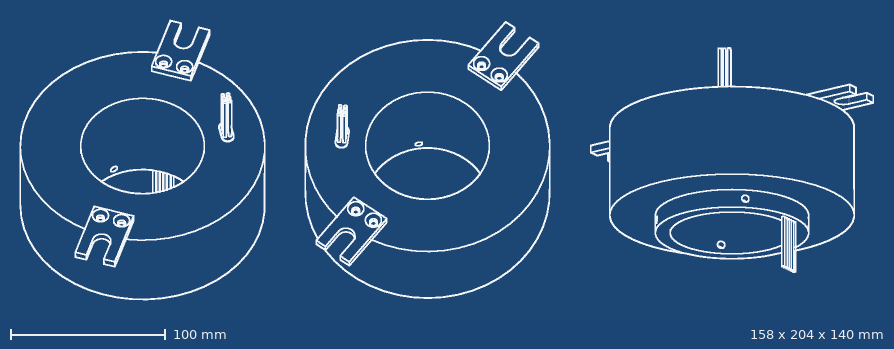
import cadquery as cq
import math


drum_diameter = 158.0
drum_height = 60.2
flange_diameter = 99.1
flange_height = 12.0
bore_diameter = 80.0
flange_bottom = -drum_height - flange_height

set_screw_diameter = 4.7
set_screw_count = 4

bracket_reach = 102.0
bracket_length = 40.4
bracket_width = 26.7
bracket_thickness = 4.9
slot_width = 11.8
slot_depth = 20.0
screw_spacing = 14.3
screw_end_distance = 6.1
screw_y = bracket_reach - bracket_length + screw_end_distance
countersink_diameter = 10.5
countersink_angle = 90.0
screw_diameter = 5.0

drill_diameter = 4.0
drill_depth = 10.2
drill_point_angle = 118.0

wire_diameter = 2.0
wire_length = 33.9
upper_wire_radius = 55.5
upper_wire_angle = 30.0
upper_wire_pitch = 3.0
upper_row_spacing = 3.5
upper_row_count = 2
wires_per_row = 3
lower_wire_count = 6
lower_wire_pitch = 2.5
lower_wire_y = 44.7

recess_length = 16.0
recess_width = 8.0
recess_depth = 0.6


def make_drum():
    drum = cq.Workplane("XY").circle(drum_diameter / 2).extrude(-drum_height)
    flange = (
        cq.Workplane("XY", origin=(0, 0, -drum_height))
        .circle(flange_diameter / 2)
        .extrude(-flange_height)
    )
    bore = cq.Workplane("XY").circle(bore_diameter / 2).extrude(flange_bottom)
    return drum.union(flange).cut(bore)


def make_set_screw_holes():
    holes = cq.Workplane("XY")
    hole_z = -drum_height - flange_height / 2
    for index in range(set_screw_count):
        angle = (index + 0.5) * 360 / set_screw_count
        hole = (
            cq.Workplane("YZ", origin=(0, 0, hole_z))
            .circle(set_screw_diameter / 2)
            .extrude(flange_diameter / 2)
            .rotate((0, 0, 0), (0, 0, 1), angle)
        )
        holes = holes.add(hole)
    return holes.combine()


def make_drilled_holes():
    """Four blind holes with conical bottoms, two under each bracket."""
    drill_radius = drill_diameter / 2
    point_height = drill_radius / math.tan(math.radians(drill_point_angle / 2))
    half_profile = [
        (0, 0),
        (drill_radius, 0),
        (drill_radius, -drill_depth),
        (0, -drill_depth - point_height),
    ]
    hole = cq.Workplane("XZ").polyline(half_profile).close().revolve(360, (0, 0), (0, 1))
    return (
        cq.Workplane("XY")
        .rarray(screw_spacing, 2 * screw_y, 2, 2)
        .eachpoint(lambda place: hole.val().moved(place))
        .combine()
    )


def make_bracket():
    """Forked bracket on the +Y side, lying on the top face of the drum."""
    plate = (
        cq.Workplane("XY", origin=(0, bracket_reach - bracket_length / 2, 0))
        .rect(bracket_width, bracket_length)
        .extrude(bracket_thickness)
    )
    slot = (
        cq.Workplane("XY", origin=(0, bracket_reach, 0))
        .slot2D(2 * slot_depth, slot_width, 90)
        .extrude(bracket_thickness)
    )
    return (
        plate.cut(slot)
        .faces(">Z")
        .workplane(origin=(0, screw_y, 0))
        .pushPoints([(-screw_spacing / 2, 0), (screw_spacing / 2, 0)])
        .cskHole(screw_diameter, countersink_diameter, countersink_angle)
    )


def make_upper_lead_frame():
    """Plane on the drum top with its X axis pointing radially outward."""
    angle = math.radians(upper_wire_angle)
    radial = (math.cos(angle), math.sin(angle), 0)
    origin = (upper_wire_radius * radial[0], upper_wire_radius * radial[1], 0)
    return cq.Plane(origin=origin, xDir=radial, normal=(0, 0, 1))


def make_recess(frame):
    return cq.Workplane(frame).slot2D(recess_length, recess_width, 90).extrude(-recess_depth)


def make_upper_wires(frame):
    return (
        cq.Workplane(frame)
        .workplane(offset=-recess_depth)
        .rarray(upper_row_spacing, upper_wire_pitch, upper_row_count, wires_per_row)
        .circle(wire_diameter / 2)
        .extrude(wire_length + recess_depth)
    )


def make_lower_wires():
    return (
        cq.Workplane("XY", origin=(0, lower_wire_y, flange_bottom))
        .rarray(lower_wire_pitch, 2, lower_wire_count, 1)
        .circle(wire_diameter / 2)
        .extrude(-wire_length)
    )


lead_frame = make_upper_lead_frame()
bracket = make_bracket()

result = (
    make_drum()
    .cut(make_set_screw_holes())
    .cut(make_drilled_holes())
    .cut(make_recess(lead_frame))
    .union(bracket)
    .union(bracket.mirror("XZ"))
    .union(make_upper_wires(lead_frame))
    .union(make_lower_wires())
)